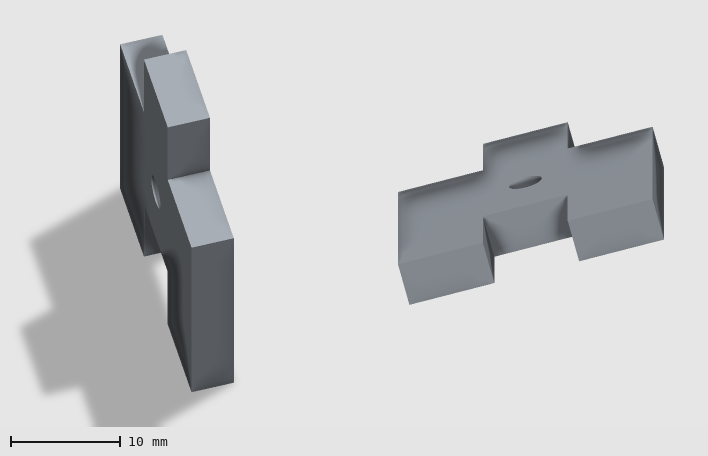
import cadquery as cq

height = 30.0
width = 24.0
hole_diameter = 3.1

column = width / 3
thickness = column / 2
body_height = height - column


def block(size_x, size_z, bottom):
    """Full-thickness block centred on X and Y, with its underside at Z = bottom."""
    return (
        cq.Workplane("XY")
        .box(size_x, thickness, size_z, centered=(True, True, False))
        .translate((0, 0, bottom))
    )


body = block(width, body_height, 0)
tab = block(column, column, body_height)
notch = block(column, column, 0)

hole = (
    cq.Workplane("XZ")
    .center(0, height / 2)
    .circle(hole_diameter / 2)
    .extrude(thickness, both=True)
)

result = body.union(tab).cut(notch).cut(hole)